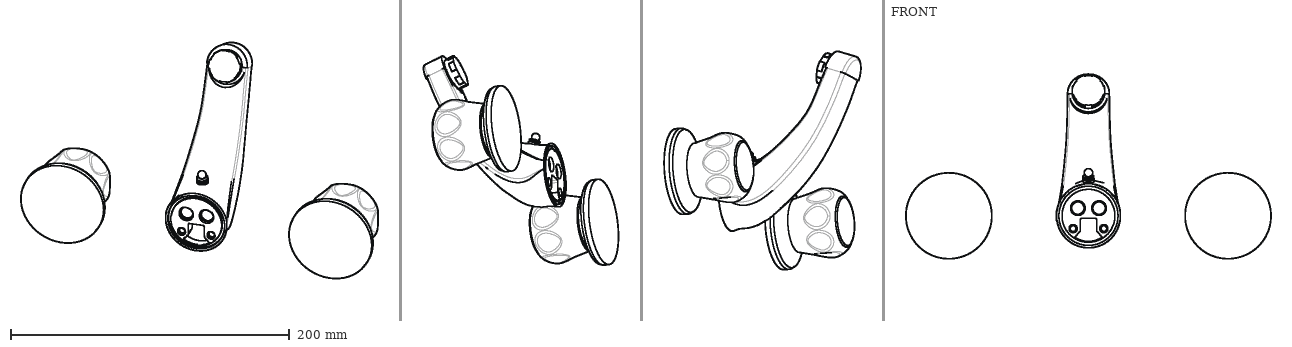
import cadquery as cq
import math

overall_width = 262.0
flange_radius = 31.0
handle_offset = overall_width / 2 - flange_radius
flange_straight = 4.0
flange_shoulder = 6.3
flange_shoulder_radius = 29.9
neck_radius = 16.5
knob_start = 13.0
knob_base_radius = 19.5
knob_waist_radius = 22.65
knob_waist_y = 26.7
knob_max_radius = 25.5
knob_max_y = 37.5
knob_shoulder_radius = 22.5
knob_shoulder_y = 45.8
cap_radius = 18.3
cap_y = 49.3
cap_rim = 1.0
cap_bevel = 1.0
cap_top = 52.7

flute_count = 8
flute_bottom_radius = 22.65
flute_radius = 27.5
flute_overrun = 2.0
flute_edge_fillet = 3.1
flute_edge_margin = 1.3

base_radius = 23.0
tip_radius = 15.06
tip_length = 15.7
tip_pitch = 20.0
tip_face_y = 79.0
tip_face_z = 87.5
tip_sine = math.sin(math.radians(tip_pitch))
tip_cosine = math.cos(math.radians(tip_pitch))
tip_back_y = tip_face_y + tip_length * tip_cosine
tip_back_z = tip_face_z - tip_length * tip_sine

spout_sections = [
    ((0.0, base_radius), (0.0, -base_radius), 22.92, 19.6, 19.6, 0.13),
    ((11.8, 23.8), (12.5, -21.7), 21.35, 14.0, 13.0, 1.0),
    ((25.0, 26.7), (34.0, -11.3), 19.52, 6.8, 6.5, 1.3),
    ((40.0, 34.3), (60.3, 17.0), 18.0, 3.28, 2.4, 1.3),
    ((55.8, 48.2), (70.7, 32.5), 16.65, 2.4, 1.5, 1.3),
    ((69.5, 68.5), (85.0, 59.7), 15.5, 1.5, 1.0, 1.3),
    ((73.4, 77.0), (89.3, 70.5), 15.2, 1.18, 0.92, 1.3),
    ((tip_face_y, tip_face_z), (tip_back_y, tip_back_z), tip_radius, 0.4, 0.8, 1.3),
]
back_corner_ratio = 1.8
tip_back_fillet = 2.0

outlet_seat_radius = 13.75
outlet_seat_height = 5.2
outlet_seat_flare = 45.0
aerator_radius = 11.3
aerator_length = 7.2
pad_count = 6
pad_radius = 11.8
pad_width = 6.8
pad_length = 4.0

rod_y = 16.8
rod_z = 23.5
rod_pitch = 16.0
collar_radius = 4.2
collar_height = 3.0
rod_neck_radius = 3.1
rod_neck_height = 1.0
rim_height = 1.0
rim_radius = 4.0
ball_radius = 3.0
ball_height = 7.5

groove_outer_radius = 21.2
groove_inner_radius = 19.0
groove_depth = 2.0
inlet_x = 7.5
inlet_z = 5.5
inlet_radius = 5.2
inlet_bore_radius = 4.5
inlet_depth = 15.7
inlet_counterbore_depth = 2.5
screw_x = 11.0
screw_z = -9.2
screw_radius = 3.0
screw_bore_radius = 2.0
screw_depth = 10.5
screw_counterbore_depth = 2.0
slot_half_width = 6.0
slot_top_z = -1.8
slot_neck_z = -11.0
slot_foot_half_width = 9.82
slot_foot_radius = 18.3
slot_corner = 1.3
slot_depth = 13.0
slot_floor_slant = 20.0

wall_plane = cq.Plane(origin=(0, 0, 0), xDir=(1, 0, 0), normal=(0, -1, 0))
outlet_plane = cq.Plane(
    origin=(0, tip_face_y, tip_face_z), xDir=(1, 0, 0), normal=(0, -tip_cosine, tip_sine)
)


def handle_profile():
    """Half profile of a handle, revolved around the Y axis."""
    dome_edge_radius = cap_radius - cap_bevel
    dome_edge_y = cap_y + cap_rim
    dome_height = cap_top - dome_edge_y
    dome_radius = (dome_edge_radius**2 + dome_height**2) / (2 * dome_height)
    return (
        cq.Workplane("XY")
        .lineTo(flange_radius, 0)
        .lineTo(flange_radius, flange_straight)
        .lineTo(flange_shoulder_radius, flange_shoulder)
        .lineTo(neck_radius, knob_start)
        .lineTo(knob_base_radius, knob_start)
        .spline(
            [
                (knob_waist_radius, knob_waist_y),
                (knob_max_radius, knob_max_y),
                (knob_shoulder_radius, knob_shoulder_y),
                (cap_radius, cap_y),
            ],
            tangents=[(0.3, 1), (-1, 0.2)],
            includeCurrent=True,
        )
        .lineTo(dome_edge_radius, dome_edge_y)
        .radiusArc((0, cap_top), -dome_radius)
        .close()
    )


def make_flute(angle):
    """Cutter for one finger flute, at an angle around the knob."""
    cutter_distance = flute_bottom_radius + flute_radius
    return (
        cq.Workplane("XZ", origin=(0, knob_start, 0))
        .center(cutter_distance * math.cos(angle), cutter_distance * math.sin(angle))
        .circle(flute_radius)
        .extrude(knob_start - knob_shoulder_y - flute_overrun)
    )


def make_handle():
    """Flange, neck and fluted knob in one piece, on the Y axis."""
    handle = handle_profile().revolve(360, (0, 0), (0, 1))
    for index in range(flute_count):
        handle = handle.cut(make_flute(2 * math.pi * index / flute_count))
    flute_edges = handle.edges(
        cq.selectors.BoxSelector(
            (-knob_max_radius, knob_start + 2.5, -knob_max_radius),
            (knob_max_radius, cap_y - flute_edge_margin, knob_max_radius),
        )
    )
    return flute_edges.fillet(flute_edge_fillet)


def add_arched_face(sketch, half_width, half_depth, corner_depth, corner, side):
    """Rounded corner, arched face and rounded corner, drawn from x = side * half_width across.

    half_depth is the apex of the arch and corner_depth the depth of the face's two ends;
    both are negative on the back face. The sketch must stand where the first corner starts.
    """
    toward_middle = -math.copysign(corner, half_depth)
    corner_share = 1 - math.sqrt(0.5)
    face_edge = half_width - corner
    bend_x = half_width - corner * corner_share
    bend_depth = corner_depth + toward_middle * corner_share
    return (
        sketch
        .threePointArc((side * bend_x, bend_depth), (side * face_edge, corner_depth))
        .threePointArc((0, half_depth), (-side * face_edge, corner_depth))
        .threePointArc(
            (-side * bend_x, bend_depth), (-side * half_width, corner_depth + toward_middle)
        )
    )


def section_wire(front, back, half_width, front_bulge, back_bulge, corner):
    """Closed outline with straight sides, arched faces and rounded corners."""
    rise_y = front[0] - back[0]
    rise_z = front[1] - back[1]
    half_depth = math.hypot(rise_y, rise_z) / 2
    centre = (0, (front[0] + back[0]) / 2, (front[1] + back[1]) / 2)
    plane = cq.Plane(origin=centre, xDir=(1, 0, 0), normal=(0, -rise_z, rise_y))
    front_depth = half_depth - front_bulge
    back_depth = back_bulge - half_depth
    back_corner = back_corner_ratio * corner
    outline = (
        cq.Workplane(plane)
        .moveTo(half_width, back_depth + back_corner)
        .lineTo(half_width, front_depth - corner)
    )
    outline = add_arched_face(outline, half_width, half_depth, front_depth, corner, 1)
    outline = outline.lineTo(-half_width, back_depth + back_corner)
    outline = add_arched_face(outline, half_width, -half_depth, back_depth, back_corner, -1)
    return outline.close().val()


def make_spout_shell():
    """Curved arm with its half-round tip and the flared seat around the outlet."""
    wires = [section_wire(*section) for section in spout_sections]
    arm = cq.Workplane(cq.Solid.makeLoft(wires))
    tip = (
        cq.Workplane(outlet_plane)
        .moveTo(tip_radius, 0)
        .threePointArc((0, tip_radius), (-tip_radius, 0))
        .close()
        .extrude(-tip_length)
        .faces(">Y")
        .edges("%CIRCLE")
        .fillet(tip_back_fillet)
    )
    seat = (
        cq.Workplane(outlet_plane)
        .circle(outlet_seat_radius)
        .extrude(outlet_seat_height, taper=-outlet_seat_flare)
    )
    return arm.union(tip).cut(seat)


def make_aerator():
    """Round outlet with raised grip pads around its free end."""
    aerator = cq.Workplane(outlet_plane).circle(aerator_radius).extrude(aerator_length)
    blank = (
        cq.Workplane(outlet_plane)
        .workplane(offset=aerator_length - pad_length)
        .circle(pad_radius)
        .extrude(pad_length)
    )
    for index in range(pad_count // 2):
        bar = (
            cq.Workplane(outlet_plane)
            .transformed(
                rotate=(0, 0, 360 / pad_count * index),
                offset=(0, 0, aerator_length - pad_length),
            )
            .rect(3 * pad_radius, pad_width)
            .extrude(pad_length)
        )
        aerator = aerator.union(blank.intersect(bar))
    return aerator


def make_rod():
    """Diverter rod: a collar, a thinner neck, a rim and a ball, leaning towards the wall."""
    lean = math.radians(rod_pitch)
    plane = cq.Plane(
        origin=(0, rod_y, rod_z),
        xDir=(1, 0, 0),
        normal=(0, -math.sin(lean), math.cos(lean)),
    )
    stem = (
        cq.Workplane(plane)
        .circle(collar_radius)
        .extrude(collar_height)
        .faces(">Z")
        .workplane()
        .circle(rod_neck_radius)
        .extrude(rod_neck_height)
    )
    rim = (
        cq.Workplane(plane)
        .workplane(offset=collar_height + rod_neck_height)
        .circle(rim_radius)
        .extrude(rim_height)
    )
    ball = cq.Workplane(plane).workplane(offset=ball_height).sphere(ball_radius)
    return stem.union(rim).union(ball)


def make_holes(x, z, bore_radius, bore_depth, mouth_radius, mouth_depth):
    """Mirrored pair of blind counterbored holes going in from the wall."""
    places = [(-x, z), (x, z)]
    bores = cq.Workplane(wall_plane).pushPoints(places).circle(bore_radius).extrude(-bore_depth)
    mouths = cq.Workplane(wall_plane).pushPoints(places).circle(mouth_radius).extrude(-mouth_depth)
    return bores.union(mouths)


def make_groove():
    """Ring groove around the wall face."""
    return (
        cq.Workplane(wall_plane)
        .circle(groove_outer_radius)
        .circle(groove_inner_radius)
        .extrude(-groove_depth)
    )


def make_slot():
    """Keyhole-like recess whose foot widens to an arc around the base centre."""
    foot_z = -math.sqrt(slot_foot_radius**2 - slot_foot_half_width**2)
    slot = (
        cq.Workplane(wall_plane)
        .moveTo(-slot_half_width, slot_top_z)
        .lineTo(slot_half_width, slot_top_z)
        .lineTo(slot_half_width, slot_neck_z)
        .lineTo(slot_foot_half_width, foot_z)
        .threePointArc((0, -slot_foot_radius), (-slot_foot_half_width, foot_z))
        .lineTo(-slot_half_width, slot_neck_z)
        .close()
        .extrude(-slot_depth)
        .edges("|Y and >Z")
        .fillet(slot_corner)
    )
    slant = math.radians(slot_floor_slant)
    floor_plane = cq.Plane(
        origin=(0, slot_depth, slot_top_z),
        xDir=(1, 0, 0),
        normal=(0, math.cos(slant), -math.sin(slant)),
    )
    behind_floor = cq.Workplane(floor_plane).circle(2 * slot_foot_radius).extrude(slot_depth)
    return slot.cut(behind_floor)


def make_spout():
    """Spout with its outlet and diverter rod, and the recesses in its wall face."""
    spout = make_spout_shell().union(make_aerator()).union(make_rod())
    inlets = make_holes(
        inlet_x, inlet_z, inlet_bore_radius, inlet_depth, inlet_radius, inlet_counterbore_depth
    )
    screws = make_holes(
        screw_x, screw_z, screw_bore_radius, screw_depth, screw_radius, screw_counterbore_depth
    )
    return spout.cut(inlets).cut(screws).cut(make_groove()).cut(make_slot())


handle_at_origin = make_handle()
handles = [handle_at_origin.translate((side * handle_offset, 0, 0)) for side in (-1, 1)]
spout = make_spout()

result = cq.Compound.makeCompound([spout.val(), *[handle.val() for handle in handles]])